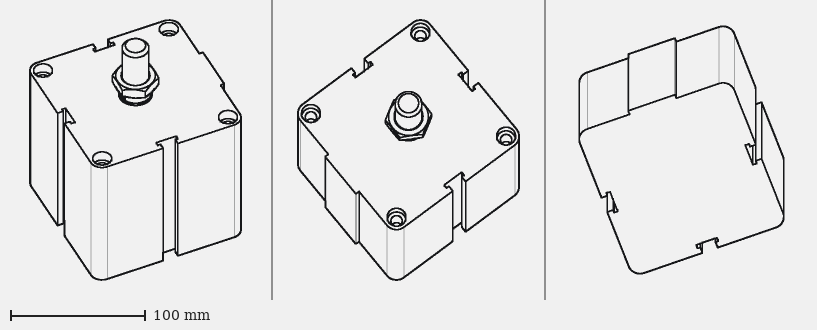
import cadquery as cq
import math

housing_width = 122.0
housing_height = 116.5
corner_radius = 9.0

rail_width = 37.0
rail_height = 3.0
rail_edge_radius = 0.6

slot_mouth_width = 12.0
slot_inner_width = 16.5
slot_lip = 4.7
slot_depth = 7.6
slot_angles = (-90.0, 0.0, 90.0)

hole_pitch = 103.0
counterbore_diameter = 14.0
counterbore_depth = 8.5
screw_hole_diameter = 8.38
screw_hole_depth = 25.0

collar_diameter = 25.0
collar_height = 2.2
collar_chamfer_length = 0.5
shank_diameter = 24.5
shank_end = 10.0
flat_start = 3.3
across_flats = 22.0
thread_diameter = 20.0
rod_length = 50.0
tip_diameter = 15.0
tip_length = 2.8

nut_thickness = 9.0
nut_across_flats = 30.0
nut_face_diameter = 29.5
nut_chamfer_angle = 30.0
countersink_diameter = 21.5


def t_slot():
    """Cutter for the T-slot on the -Y side."""
    outer_face = -housing_width / 2
    mouth = cq.Workplane("XY").box(
        slot_mouth_width, slot_depth, housing_height, centered=(True, False, False)
    )
    inner = cq.Workplane("XY").box(
        slot_inner_width, slot_depth - slot_lip, housing_height, centered=(True, False, False)
    )
    return mouth.union(inner.translate((0, slot_lip, 0))).translate((0, outer_face, 0))


def make_housing():
    block = (
        cq.Workplane("XY")
        .rect(housing_width, housing_width)
        .extrude(housing_height)
        .edges("|Z")
        .fillet(corner_radius)
    )
    rail = (
        cq.Workplane("XY")
        .center(0, housing_width / 2)
        .rect(rail_width, 2 * rail_height)
        .extrude(housing_height)
        .edges("|Z and >Y")
        .fillet(rail_edge_radius)
    )
    body = block.union(rail)
    for angle in slot_angles:
        body = body.cut(t_slot().rotate((0, 0, 0), (0, 0, 1), angle))
    return (
        body.faces(">Z")
        .workplane(origin=(0, 0, housing_height))
        .rect(hole_pitch, hole_pitch, forConstruction=True)
        .vertices()
        .cboreHole(screw_hole_diameter, counterbore_diameter, counterbore_depth, screw_hole_depth)
    )


def make_rod():
    collar_radius = collar_diameter / 2
    shank_radius = shank_diameter / 2
    thread_radius = thread_diameter / 2
    rod = (
        cq.Workplane("XZ")
        .moveTo(0, 0)
        .lineTo(collar_radius, 0)
        .lineTo(collar_radius, collar_height - collar_chamfer_length)
        .lineTo(shank_radius, collar_height)
        .lineTo(shank_radius, shank_end)
        .lineTo(thread_radius, shank_end)
        .lineTo(thread_radius, rod_length - tip_length)
        .lineTo(tip_diameter / 2, rod_length)
        .lineTo(0, rod_length)
        .close()
        .revolve(360, (0, 0, 0), (0, 1, 0))
    )
    for side in (-1, 1):
        flat = cq.Workplane("XY").box(
            collar_diameter, collar_radius, shank_end - flat_start, centered=(True, True, False)
        )
        flat_offset = side * (across_flats / 2 + collar_radius / 2)
        rod = rod.cut(flat.translate((0, flat_offset, flat_start)))
    return rod.translate((0, 0, housing_height))


def make_nut():
    hex_corner_radius = nut_across_flats / 2 / math.cos(math.pi / 6)
    hexagon = cq.Workplane("XY").polygon(6, 2 * hex_corner_radius).extrude(nut_thickness)
    bore_radius = thread_diameter / 2
    countersink_radius = countersink_diameter / 2
    countersink_depth = countersink_radius - bore_radius
    face_radius = nut_face_diameter / 2
    chamfer_drop = (hex_corner_radius - face_radius) * math.tan(math.radians(nut_chamfer_angle))
    turned_ring = (
        cq.Workplane("XZ")
        .moveTo(bore_radius, countersink_depth)
        .lineTo(countersink_radius, 0)
        .lineTo(face_radius, 0)
        .lineTo(hex_corner_radius, chamfer_drop)
        .lineTo(hex_corner_radius, nut_thickness - chamfer_drop)
        .lineTo(face_radius, nut_thickness)
        .lineTo(countersink_radius, nut_thickness)
        .lineTo(bore_radius, nut_thickness - countersink_depth)
        .close()
        .revolve(360, (0, 0, 0), (0, 1, 0))
    )
    return hexagon.intersect(turned_ring).translate((0, 0, housing_height + shank_end))


housing = make_housing()
rod = make_rod()
nut = make_nut()

result = cq.Compound.makeCompound([housing.val(), rod.val(), nut.val()])